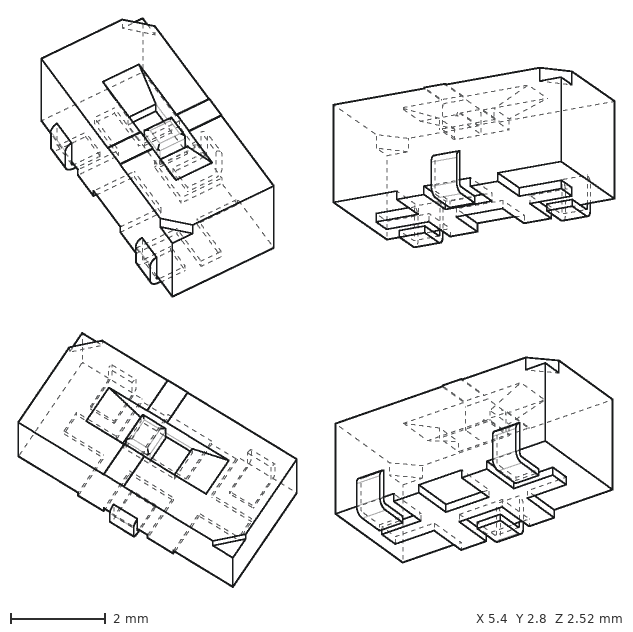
import cadquery as cq

length = 5.4
width = 2.5
top_z = 2.5
block_bottom_z = 0.29
standoff_bottom_z = 0.1
corner_cut = 0.5
corner_cut_depth = 0.3

bar_length = 4.395
bar_width = 0.495
foot_inner_x = 0.55
foot_outer_x = 1.2

band_width = 0.5
band_height = 0.02
slider_x = 0.295

window_length = 3.015
window_width = 0.89
well_length = 1.295
well_width = 0.695
taper_depth = 0.35
well_depth = 0.25
well_floor_z = top_z - taper_depth - well_depth

knob_length = 0.6
knob_top_z = top_z
knob_top_round = 0.1
knob_side_round = 0.05

terminal_width = 0.6
terminal_thickness = 0.15
terminal_top_z = 0.95
terminal_bend = 0.2
terminal_inner_bend = terminal_bend - terminal_thickness
terminal_end_y = 0.55
terminal_x = 1.75


def box(x_range, y_range, z_range):
    """Box between two limits along each axis."""
    x0, x1 = x_range
    y0, y1 = y_range
    z0, z1 = z_range
    return cq.Workplane("XY").box(x1 - x0, y1 - y0, z1 - z0, centered=False).translate((x0, y0, z0))


def centered_box(x_size, y_size, z_range, x_center=0):
    """Box centered on y = 0 and on the given x."""
    x_range = (x_center - x_size / 2, x_center + x_size / 2)
    return box(x_range, (-y_size / 2, y_size / 2), z_range)


def make_corner_cut(side):
    """Triangular prism at a top corner; side -1 is (-X, +Y), side 1 is (+X, -Y)."""
    corner_x = side * length / 2
    corner_y = -side * width / 2
    return (
        cq.Workplane("XY", origin=(0, 0, top_z - corner_cut_depth))
        .moveTo(corner_x, corner_y)
        .lineTo(corner_x - side * corner_cut, corner_y)
        .lineTo(corner_x, corner_y + side * corner_cut)
        .close()
        .extrude(corner_cut_depth)
    )


def make_standoffs():
    z_range = (standoff_bottom_z, block_bottom_z)
    standoffs = centered_box(bar_length, bar_width, z_range)
    foot_length = foot_outer_x - foot_inner_x
    foot_center = (foot_inner_x + foot_outer_x) / 2
    for side in (-1, 1):
        standoffs = standoffs.union(centered_box(foot_length, width, z_range, side * foot_center))
    return standoffs


def make_window():
    """Four-sided funnel that opens upward, above the straight well."""
    funnel = (
        cq.Workplane("XY", origin=(0, 0, top_z))
        .rect(window_length, window_width)
        .workplane(offset=-taper_depth)
        .rect(well_length, well_width)
        .loft(ruled=True)
    )
    well = centered_box(well_length, well_width, (well_floor_z, top_z - taper_depth))
    return funnel.union(well)


def make_band():
    """Raised band, interrupted by the window."""
    z_range = (top_z, top_z + band_height)
    band = centered_box(band_width, width, z_range, slider_x)
    return band.cut(centered_box(window_length, window_width, z_range))


def make_terminal(x_center, side):
    """Terminal leaving the wall on the given Y side, bent down and then under the block."""
    wall_y = width / 2
    outer_y = wall_y + terminal_thickness
    inner_upright_z = terminal_thickness + terminal_inner_bend
    bend_y = outer_y - terminal_bend
    diagonal = 0.5 ** 0.5
    outer_mid = terminal_bend * diagonal
    inner_mid = terminal_inner_bend * diagonal
    upper_bend_z = terminal_top_z - terminal_bend
    profile = (
        cq.Workplane("YZ", origin=(-terminal_width / 2, 0, 0))
        .moveTo(terminal_end_y, 0)
        .lineTo(bend_y, 0)
        .threePointArc((bend_y + outer_mid, terminal_bend - outer_mid), (outer_y, terminal_bend))
        .lineTo(outer_y, upper_bend_z)
        .threePointArc((bend_y + outer_mid, upper_bend_z + outer_mid), (bend_y, terminal_top_z))
        .lineTo(bend_y, block_bottom_z)
        .lineTo(wall_y, block_bottom_z)
        .lineTo(wall_y, inner_upright_z)
        .threePointArc((bend_y + inner_mid, terminal_bend - inner_mid), (bend_y, terminal_thickness))
        .lineTo(terminal_end_y, terminal_thickness)
        .close()
    )
    terminal = profile.extrude(terminal_width)
    if side < 0:
        terminal = terminal.mirror("XZ")
    return terminal.translate((x_center, 0, 0))


def make_housing():
    """Housing with its three terminals fixed in the walls."""
    housing = centered_box(length, width, (block_bottom_z, top_z))
    for side in (-1, 1):
        housing = housing.cut(make_corner_cut(side))
    housing = housing.union(make_standoffs()).cut(make_window()).union(make_band())
    for x_center, side in ((-terminal_x, -1), (terminal_x, -1), (0, 1)):
        housing = housing.union(make_terminal(x_center, side))
    return housing


def make_slider():
    """Knob whose rounded top edges meet in mitres, trimmed by the rounded upright edges."""
    knob = centered_box(knob_length, well_width, (well_floor_z, knob_top_z), slider_x)
    round_topped = knob.faces(">Z").edges().fillet(knob_top_round)
    round_sided = knob.edges("|Z").fillet(knob_side_round)
    return round_topped.intersect(round_sided)


housing = make_housing()
slider = make_slider()
result = cq.Compound.makeCompound([housing.val(), slider.val()])